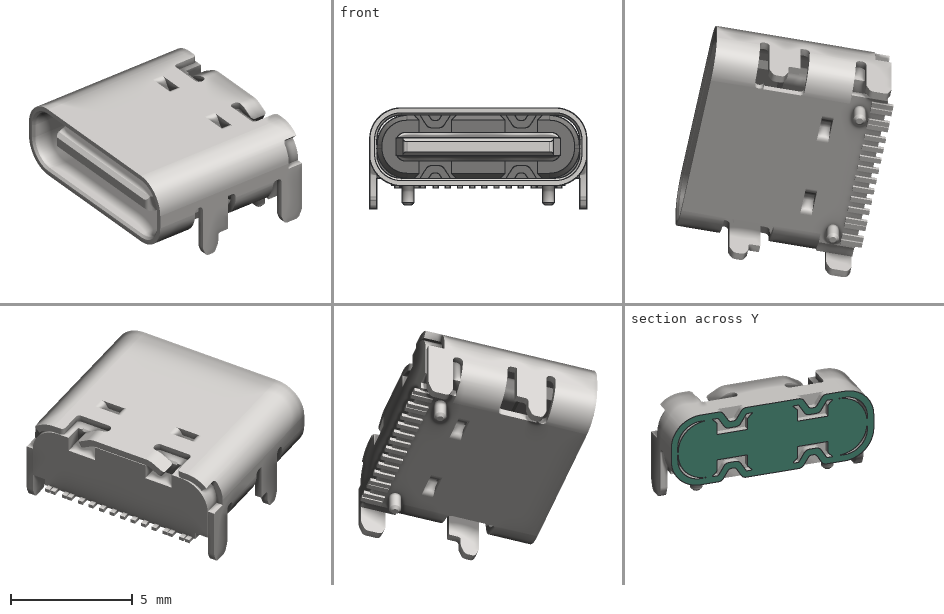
import cadquery as cq
import math


WIDTH = 8.94
HEIGHT = 3.2
SHELL_DEPTH = 7.32
WALL = 0.3
CORNER_R = 1.305
MOUTH_CHAMFER = 0.1
HALF_W = WIDTH / 2
INNER_X = HALF_W - WALL
MID_Z = HEIGHT / 2
CORNER_X = HALF_W - CORNER_R
CORNER_Z = HEIGHT - CORNER_R
INNER_H = HEIGHT - 2 * WALL
ROOF_Z = HEIGHT - WALL

WINDOW_X = 1.77
WINDOW_W = 1.25
WINDOW_Y0 = 4.82
WINDOW_Y1 = 5.3
DENT_DEPTH = 0.52
DENT_TOP_HALF = 0.465
DENT_FLAT_HALF = 0.13
DENT_UNDER_HALF = 0.295
DENT_UNDER_R = 0.28
DENT_TOP_R = 0.27
DENT_INNER_R = 0.16

SLOT_X0 = 1.2
SLOT_X1 = 2.72
SLOT_Y0 = 6.14
SLOT_Y1 = 6.58
SLOT_R = 0.16
SLOT_END_X = 1.055
TAB_BEND_R = 0.76
TAB_ANGLE = 29.0
TAB_TIP_X = 2.07
TAB_TIP_R = 0.14

TOTAL_HEIGHT = 4.16
LEG_BOTTOM = HEIGHT - TOTAL_HEIGHT
LEG_TAPER_Z = -0.545
LEG_TAPER = 0.18
LEG_TAPER_R = 0.38
LEG_TIP_R = 0.21
FRONT_LEG_Y0 = 2.2
FRONT_LEG_Y1 = 2.995
FRONT_TAB_Y1 = 3.5
FRONT_TAB_BOTTOM = -0.08
TAB_STEP_R = 0.125
FRONT_OPEN_Y0 = 1.81
FRONT_OPEN_Y1 = 3.89
FRONT_OPEN_TOP = 1.53
REAR_LEG_Y0 = 6.26
REAR_OPEN_Y0 = 5.83
REAR_OPEN_TOP = 1.32
OPEN_R = 0.19
CORNER_CUT_Y0 = 6.63
CORNER_CUT_Z = 1.645
CORNER_CUT_R = 0.15

HOUSING_FRONT = 4.29
HOUSING_REAR = 7.35
HOUSING_R = 1.23
HOUSING_CHAMFER = 0.21
NOTCH_HALF = 0.66
NOTCH_FLARE = 0.21
FOOT_HALF_W = 3.58
POCKET_X1 = 2.46
POCKET_FLOOR = 2.235
POCKET_LIP = 0.08
POCKET_LIP_X1 = 2.25

TONGUE_TIP = 0.32
TIP_W = 6.195
TONGUE_T = 0.71
TIP_R = 0.16
TIP_CHAMFER_Z = 0.14
TIP_CHAMFER_Y = 0.18
BASE_W = 6.78
TAPER_Y0 = 0.49
TAPER_Y1 = 1.25
BASE_T = 1.18
BASE_R = 0.4
BASE_Y0 = 2.86
BASE_BEVEL = 0.21
BLADE_END = BASE_Y0 + BASE_BEVEL

PEG_X = 2.89
PEG_Y = 6.285
PEG_D = 0.51
PEG_BOTTOM = -0.805
PEG_CHAMFER = 0.12
TERMINAL_END = 7.6
TERMINAL_Y0 = 6.705
TERMINAL_W = 0.215
TERMINAL_Z0 = -0.11
TERMINAL_Z1 = 0.05
PITCH = 0.5
PER_SIDE = 4
PAIRS = ((2.405, 0.24), (3.2, 0.27))

PICK = 0.045


def box(x0, x1, y0, y1, z0, z1):
    size = (x1 - x0, y1 - y0, z1 - z0)
    return cq.Workplane("XY").box(*size, centered=False).translate((x0, y0, z0))


def slab_xz(points, y0, y1):
    """Outline in X and Z, extruded along Y."""
    return cq.Workplane("XZ", origin=(0, y0, 0)).polyline(points).close().extrude(y0 - y1)


def slab_yz(points, x0, x1):
    """Outline in Y and Z, extruded along X."""
    return cq.Workplane("YZ", origin=(x0, 0, 0)).polyline(points).close().extrude(x1 - x0)


def rounded_bar(width, height, radius, y0, y1):
    """Bar along Y, centred on the mouth, with rounded long edges."""
    bar = box(-width / 2, width / 2, y0, y1, MID_Z - height / 2, MID_Z + height / 2)
    return bar.edges("|Y").fillet(radius)


def both_sides(body):
    return body.union(body.mirror("YZ"))


def roof_and_floor(body):
    return body.union(body.mirror("XY", (0, 0, MID_Z)))


def four_places(body):
    return roof_and_floor(both_sides(body))


def edges_near(body, x, y, z, direction):
    """Edges along one axis whose middle lies by the given point."""
    low = (x - PICK, y - PICK, z - PICK)
    high = (x + PICK, y + PICK, z + PICK)
    return body.edges(direction).edges(cq.selectors.BoxSelector(low, high))



def shell_tube():
    outer = rounded_bar(WIDTH, HEIGHT, CORNER_R, 0, SHELL_DEPTH)
    inner = rounded_bar(2 * INNER_X, INNER_H, CORNER_R - WALL, 0, SHELL_DEPTH)
    low = (-INNER_X - PICK, -PICK, WALL - PICK)
    high = (INNER_X + PICK, PICK, ROOF_Z + PICK)
    mouth_rim = cq.selectors.BoxSelector(low, high, boundingbox=True)
    return outer.cut(inner).edges(mouth_rim).chamfer(MOUTH_CHAMFER)


def window_openings():
    opening = box(
        WINDOW_X - WINDOW_W / 2, WINDOW_X + WINDOW_W / 2,
        WINDOW_Y0, WINDOW_Y1,
        ROOF_Z, HEIGHT,
    )
    return four_places(opening)


def window_bridges():
    """Strips left across the windows, dented into the mouth as a flat-bottomed U."""
    half = WINDOW_W / 2
    upper = HEIGHT - DENT_DEPTH
    outline = [
        (-half, HEIGHT), (-DENT_TOP_HALF, HEIGHT),
        (-DENT_FLAT_HALF, upper), (DENT_FLAT_HALF, upper),
        (DENT_TOP_HALF, HEIGHT), (half, HEIGHT),
        (half, ROOF_Z), (DENT_UNDER_HALF, upper - WALL),
        (-DENT_UNDER_HALF, upper - WALL), (-half, ROOF_Z),
    ]
    strip = slab_xz(outline, WINDOW_Y0, WINDOW_Y1)
    strip = strip.faces("<Z").edges("|Y").fillet(DENT_UNDER_R)
    middle_y = (WINDOW_Y0 + WINDOW_Y1) / 2
    for x in (-DENT_TOP_HALF, DENT_TOP_HALF):
        strip = edges_near(strip, x, middle_y, HEIGHT, "|Y").fillet(DENT_TOP_R)
    for x in (-DENT_FLAT_HALF, DENT_FLAT_HALF):
        strip = edges_near(strip, x, middle_y, upper, "|Y").fillet(DENT_INNER_R)
    return four_places(strip.translate((WINDOW_X, 0, 0)))


def rear_slots():
    """L-shaped slots in the roof, open at the rear, with a round inner end."""
    r = SLOT_R
    slot = (
        cq.Workplane("XY", origin=(0, 0, ROOF_Z))
        .moveTo(SLOT_X0, SHELL_DEPTH)
        .lineTo(SLOT_X1 + r, SHELL_DEPTH)
        .radiusArc((SLOT_X1, SHELL_DEPTH - r), -r)
        .lineTo(SLOT_X1, SLOT_Y0 + r)
        .radiusArc((SLOT_X1 - r, SLOT_Y0), r)
        .lineTo(SLOT_X0, SLOT_Y0)
        .threePointArc((SLOT_END_X, (SLOT_Y0 + SLOT_Y1) / 2), (SLOT_X0, SLOT_Y1))
        .close()
        .extrude(WALL)
    )
    return both_sides(slot)


def roof_tabs():
    """Tabs rolled down from the inner edge of each rear slot, then straight to a rounded tip."""
    sin_a = math.sin(math.radians(TAB_ANGLE))
    cos_a = math.cos(math.radians(TAB_ANGLE))
    sin_half = math.sin(math.radians(TAB_ANGLE / 2))
    cos_half = math.cos(math.radians(TAB_ANGLE / 2))
    bend_z = HEIGHT - TAB_BEND_R
    under_r = TAB_BEND_R - WALL

    def on_bend(radius, sine, cosine):
        return (SLOT_X0 + radius * sine, bend_z + radius * cosine)

    top_end = on_bend(TAB_BEND_R, sin_a, cos_a)
    under_end = on_bend(under_r, sin_a, cos_a)
    run = (TAB_TIP_X - top_end[0]) / cos_a
    top_tip = (TAB_TIP_X, top_end[1] - run * sin_a)
    under_tip = (under_end[0] + run * cos_a, under_end[1] - run * sin_a)
    tab = (
        cq.Workplane("XZ", origin=(0, SLOT_Y1, 0))
        .moveTo(SLOT_X0, HEIGHT)
        .threePointArc(on_bend(TAB_BEND_R, sin_half, cos_half), top_end)
        .lineTo(*top_tip)
        .lineTo(*under_tip)
        .lineTo(*under_end)
        .threePointArc(on_bend(under_r, sin_half, cos_half), (SLOT_X0, ROOF_Z))
        .close()
        .extrude(SLOT_Y1 - SHELL_DEPTH)
    )
    for y in (SLOT_Y1, SHELL_DEPTH):
        middle = ((top_tip[0] + under_tip[0]) / 2, y, (top_tip[1] + under_tip[1]) / 2)
        tab = tab.edges(cq.selectors.NearestToPointSelector(middle)).fillet(TAB_TIP_R)
    return both_sides(tab)


def side_openings():
    """Cut-outs of the lower corner that free the solder legs, with a round-topped slot beside each."""
    def opening(y0, y1, top):
        return box(-HALF_W, -CORNER_X, y0, y1, 0, top)

    before_front = opening(FRONT_OPEN_Y0, FRONT_LEG_Y0, FRONT_OPEN_TOP)
    before_front = before_front.edges(">Z and |X").fillet(OPEN_R)
    before_front = before_front.edges("<Y and >X and |Z").fillet(OPEN_R)
    behind_front = opening(FRONT_TAB_Y1, FRONT_OPEN_Y1, FRONT_OPEN_TOP)
    behind_front = behind_front.edges(">Y and >Z").fillet(OPEN_R)
    behind_front = behind_front.edges(">Y and >X and |Z").fillet(OPEN_R)
    before_rear = opening(REAR_OPEN_Y0, REAR_LEG_Y0, REAR_OPEN_TOP)
    before_rear = before_rear.edges(">Z and |X").fillet(OPEN_R)

    openings = before_front.union(opening(FRONT_LEG_Y0, FRONT_TAB_Y1, CORNER_R)).union(behind_front)
    openings = openings.union(before_rear).union(opening(REAR_LEG_Y0, SHELL_DEPTH, CORNER_R))
    rear_floor = box(-CORNER_X, CORNER_X, REAR_OPEN_Y0, SHELL_DEPTH, 0, WALL)
    return both_sides(openings).union(rear_floor)


def rear_corner_cuts():
    """Rear cut-outs of the upper corners, ending on a face that points at the corner axis."""
    reach = CORNER_R
    outline = [
        (-CORNER_X, CORNER_Z),
        (-CORNER_X - reach, CORNER_Z + reach),
        (-HALF_W, CORNER_CUT_Z),
        (-CORNER_X, CORNER_CUT_Z),
    ]
    cut = slab_xz(outline, CORNER_CUT_Y0, SHELL_DEPTH)
    middle = (-CORNER_X - reach / 2, CORNER_CUT_Y0, CORNER_Z + reach / 2)
    cut = edges_near(cut, *middle, None).fillet(CORNER_CUT_R)
    return both_sides(cut)


def solder_legs():
    leg_x = -(HALF_W + INNER_X) / 2

    def leg(y0, y1):
        outline = [
            (y0, CORNER_R), (y0, LEG_TAPER_Z), (y0 + LEG_TAPER, LEG_BOTTOM),
            (y1 - LEG_TAPER, LEG_BOTTOM), (y1, LEG_TAPER_Z), (y1, CORNER_R),
        ]
        body = slab_yz(outline, -HALF_W, -INNER_X).faces("<Z").edges("|X").fillet(LEG_TIP_R)
        for y in (y0, y1):
            body = edges_near(body, leg_x, y, LEG_TAPER_Z, "|X").fillet(LEG_TAPER_R)
        return body

    tab = box(-HALF_W, -INNER_X, FRONT_LEG_Y0, FRONT_TAB_Y1, FRONT_TAB_BOTTOM, CORNER_R)
    front = leg(FRONT_LEG_Y0, FRONT_LEG_Y1).union(tab)
    front = edges_near(front, leg_x, FRONT_LEG_Y1, FRONT_TAB_BOTTOM, "|X").fillet(TAB_STEP_R)
    return both_sides(front.union(leg(REAR_LEG_Y0, SHELL_DEPTH)))


def shell():
    body = shell_tube().cut(window_openings()).cut(rear_slots())
    body = body.cut(side_openings()).cut(rear_corner_cuts())
    return body.union(window_bridges()).union(roof_tabs()).union(solder_legs())



def housing_notches():
    """Clearance for the dented bridges, flared where it meets the roof and the floor."""
    wide = NOTCH_HALF + NOTCH_FLARE
    flare_z = ROOF_Z - NOTCH_FLARE
    floor_z = MID_Z + BASE_T / 2
    outline = [
        (-wide, ROOF_Z), (-NOTCH_HALF, flare_z), (-NOTCH_HALF, floor_z),
        (NOTCH_HALF, floor_z), (NOTCH_HALF, flare_z), (wide, ROOF_Z),
    ]
    notch = slab_xz(outline, HOUSING_FRONT, WINDOW_Y1)
    return four_places(notch.translate((WINDOW_X, 0, 0)))


def rear_pockets():
    """Pockets under the roof tabs, open at the top and rear, with a bevelled front lip."""
    pocket = box(SLOT_X0, POCKET_X1, SLOT_Y1, HOUSING_REAR, POCKET_FLOOR, ROOF_Z)
    bevel = [(SLOT_Y1 - POCKET_LIP, ROOF_Z), (SLOT_Y1, ROOF_Z - POCKET_LIP), (SLOT_Y1, ROOF_Z)]
    return both_sides(pocket.union(slab_yz(bevel, SLOT_X0, POCKET_LIP_X1)))


def housing():
    body = rounded_bar(2 * INNER_X, INNER_H, HOUSING_R, HOUSING_FRONT, HOUSING_REAR)
    body = body.faces("<Y").edges().chamfer(HOUSING_CHAMFER)
    wings = box(-INNER_X, INNER_X, REAR_OPEN_Y0, HOUSING_REAR, WALL, MID_Z)
    foot = box(-FOOT_HALF_W, FOOT_HALF_W, REAR_OPEN_Y0, HOUSING_REAR, 0, WALL)
    return body.union(wings).union(foot).cut(housing_notches()).cut(rear_pockets())


def bevelled_profile(y0, thickness, bevel_y, bevel_z):
    """Full-width slab from y0 back into the housing, with its front edges bevelled above and below."""
    low = MID_Z - thickness / 2
    high = MID_Z + thickness / 2
    profile = [
        (y0, low + bevel_z), (y0 + bevel_y, low), (HOUSING_FRONT, low),
        (HOUSING_FRONT, high), (y0 + bevel_y, high), (y0, high - bevel_z),
    ]
    return slab_yz(profile, -BASE_W / 2, BASE_W / 2)


def tongue():
    """Blade that widens behind its tip, on a thicker base with rounded long edges."""
    outline = [
        (-TIP_W / 2, TONGUE_TIP), (-TIP_W / 2, TAPER_Y0), (-BASE_W / 2, TAPER_Y1),
        (-BASE_W / 2, BLADE_END), (BASE_W / 2, BLADE_END),
        (BASE_W / 2, TAPER_Y1), (TIP_W / 2, TAPER_Y0), (TIP_W / 2, TONGUE_TIP),
    ]
    plan = cq.Workplane("XY").polyline(outline).close().extrude(HEIGHT)
    plan = plan.faces("<Y").edges("|Z").fillet(TIP_R)
    blade = plan.intersect(bevelled_profile(TONGUE_TIP, TONGUE_T, TIP_CHAMFER_Y, TIP_CHAMFER_Z))
    base = rounded_bar(BASE_W, BASE_T, BASE_R, BASE_Y0, HOUSING_FRONT)
    base = base.intersect(bevelled_profile(BASE_Y0, BASE_T, BASE_BEVEL, BASE_BEVEL))
    return blade.union(base)



def pegs():
    peg = cq.Workplane("XY", origin=(PEG_X, PEG_Y, PEG_BOTTOM)).circle(PEG_D / 2).extrude(WALL - PEG_BOTTOM)
    return both_sides(peg.faces("<Z").edges().chamfer(PEG_CHAMFER))


def terminals():
    places = [PITCH * (i + 0.5) for i in range(PER_SIDE)]
    for centre, spacing in PAIRS:
        places += [centre - spacing / 2, centre + spacing / 2]
    row = cq.Workplane("XY")
    for x in places:
        half = TERMINAL_W / 2
        row = row.add(box(x - half, x + half, TERMINAL_Y0, TERMINAL_END, TERMINAL_Z0, TERMINAL_Z1))
    return both_sides(row.combine())


result = shell().union(housing()).union(tongue()).union(pegs()).union(terminals())